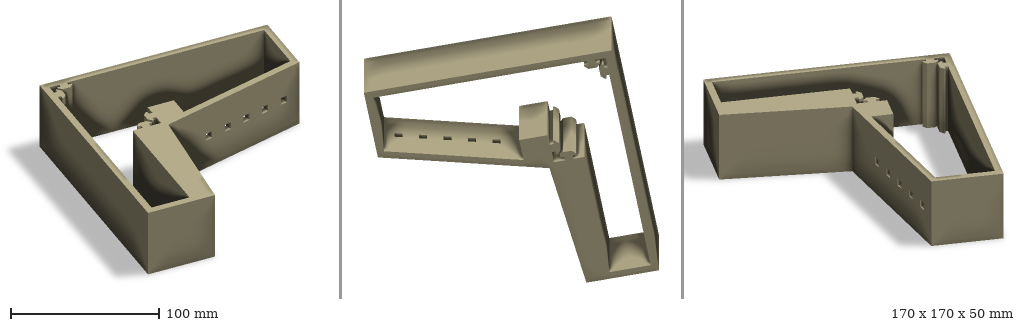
import cadquery as cq

side = 170.0
height = 50.0
wall = 5.0

arm_end = 50.0
elbow_x = 79.9
elbow_y = 58.0

block_left = 55.0
block_top = 74.0
bar_bottom = 33.3
corner_x = 76.0
corner_y = 54.4

outer_rail_offset = 10.0
inner_rail_offset = 10.7
neck_width = 5.8
outer_neck_length = 2.4
inner_neck_length = 2.7
head_width = 10.9
head_tip_width = 5.8
head_thickness = 3.5
head_bevel = (head_width - head_tip_width) / 2
head_lip = head_thickness - head_bevel

window_count = 5
window_size = 5.3
window_pitch_y = 16.0
first_window_y = 91.6

slope = cq.Vector(elbow_x - arm_end, elbow_y - side, 0).normalized()
slope_normal = cq.Vector(slope.y, -slope.x, 0)


def inner_slope_x(y):
    """X of the sloping wall's inner face at the given Y."""
    outer_x = elbow_x + (y - elbow_y) * slope.x / slope.y
    return outer_x + wall / slope.y


def make_body():
    outer = [
        (0, 0),
        (side, 0),
        (side, arm_end),
        (elbow_x, elbow_y),
        (arm_end, side),
        (0, side),
    ]
    inner_top = side - wall
    inner_right = side - wall
    cavity = [
        (wall, wall),
        (inner_right, wall),
        (inner_right, bar_bottom),
        (corner_x, bar_bottom),
        (corner_x, corner_y),
        (block_left, corner_y),
        (block_left, block_top),
        (inner_slope_x(block_top), block_top),
        (inner_slope_x(inner_top), inner_top),
        (wall, inner_top),
    ]
    solid = cq.Workplane("XY").polyline(outer).close().extrude(height)
    return solid.cut(cq.Workplane("XY").polyline(cavity).close().extrude(height))


def make_rail(neck_length):
    """Full-height T rail at the origin, rising along +Y from a root sunk into the wall."""
    root = -wall / 2
    lip_top = neck_length + head_lip
    tip = neck_length + head_thickness
    right_half = [
        (neck_width / 2, root),
        (neck_width / 2, neck_length),
        (head_width / 2, neck_length),
        (head_width / 2, lip_top),
        (head_tip_width / 2, tip),
    ]
    left_half = [(-x, y) for x, y in reversed(right_half)]
    return cq.Workplane("XY").polyline(right_half + left_half).close().extrude(height)


def make_rail_pair(rail_offset, neck_length):
    """Two rails on the faces of a corner at the origin that opens toward +X and +Y."""
    rail = make_rail(neck_length)
    on_floor = rail.translate((rail_offset, 0, 0))
    on_side = rail.rotate((0, 0, 0), (0, 0, 1), -90).translate((0, rail_offset, 0))
    return on_floor.union(on_side)


def make_window(y):
    """Square cutter across the sloping wall at mid-height, centred on its inner face."""
    plane = cq.Plane(
        origin=(inner_slope_x(y), y, height / 2),
        xDir=slope.toTuple(),
        normal=slope_normal.toTuple(),
    )
    return cq.Workplane(plane).rect(window_size, window_size).extrude(2 * wall, both=True)


outer_rails = make_rail_pair(outer_rail_offset, outer_neck_length).translate((wall, wall, 0))
inner_rails = make_rail_pair(inner_rail_offset, inner_neck_length)
inner_rails = inner_rails.rotate((0, 0, 0), (0, 0, 1), 180).translate((corner_x, corner_y, 0))

result = make_body().union(outer_rails).union(inner_rails)
for index in range(window_count):
    result = result.cut(make_window(first_window_y + index * window_pitch_y))